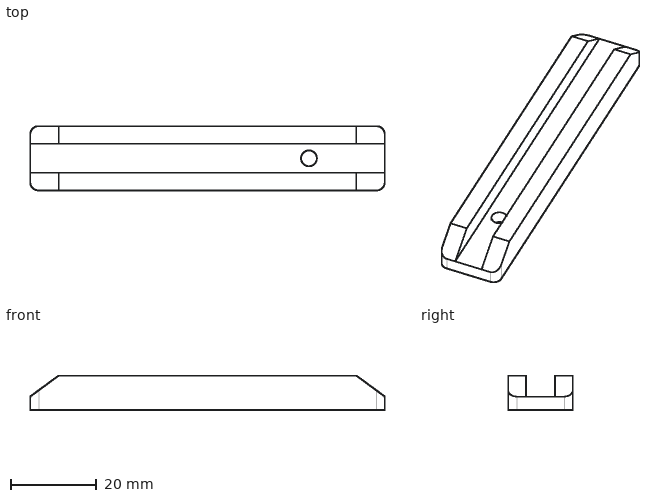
import cadquery as cq

length = 82.6
width = 15.0
height = 8.0
corner_radius = 2.0

end_height = 3.1
slope_length = 6.6

channel_width = 6.7
floor_thickness = 3.1
hole_diameter = 3.6
hole_x = 23.6


def sloped_bar():
    """Bar with both upper ends cut to a slope, extruded across its width."""
    half = length / 2
    top_half = half - slope_length
    profile = [
        (-half, 0),
        (half, 0),
        (half, end_height),
        (top_half, height),
        (-top_half, height),
        (-half, end_height),
    ]
    return cq.Workplane("XZ").polyline(profile).close().extrude(width / 2, both=True)


def rounded_outline():
    """Upright block that rounds the four vertical corners."""
    block = cq.Workplane("XY").box(length, width, height, centered=(True, True, False))
    return block.edges("|Z").fillet(corner_radius)


def channel():
    """Open channel running the full length above the floor."""
    return (
        cq.Workplane("XY")
        .workplane(offset=floor_thickness)
        .box(length, channel_width, height, centered=(True, True, False))
    )


def floor_hole():
    """Round hole through the channel floor."""
    return cq.Workplane("XY").center(hole_x, 0).circle(hole_diameter / 2).extrude(height)


result = sloped_bar().intersect(rounded_outline()).cut(channel()).cut(floor_hole())